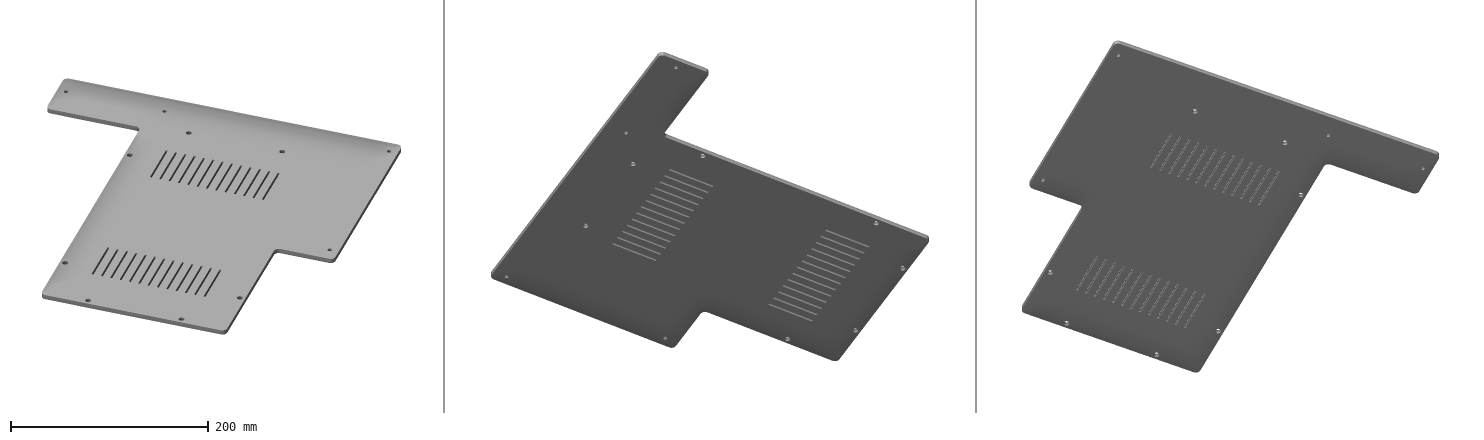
import cadquery as cq

plate_width = 362.5
plate_depth = 367.0
thickness = 5.0
body_left = 101.5
body_right = 300.2
arm_bottom = 309.7
head_bottom = 154.5
corner_radius = 5.0

small_hole_diameter = 4.5
large_hole_diameter = 6.0
arm_hole_y = 344.2
arm_hole_xs = (9.5, 115.2)
head_hole_x = 353.0
head_hole_ys = (169.5, 352.7)
body_hole_inset = 5.5
side_hole_y = 60.2
side_hole_spacing = 200.0
column_hole_x = 151.0
column_hole_spacing = 100.2
column_hole_top_y = 316.7

slot_count = 13
slot_width = 2.02
slot_length = 50.0
slot_row_span = 120.0
slot_row_center_x = 200.0
slot_row_ys = (75.2, 255.5)


def make_plate():
    outline = [
        (body_left, 0),
        (body_right, 0),
        (body_right, head_bottom),
        (plate_width, head_bottom),
        (plate_width, plate_depth),
        (0, plate_depth),
        (0, arm_bottom),
        (body_left, arm_bottom),
    ]
    plate = cq.Workplane("XY").polyline(outline).close().extrude(thickness)
    return plate.edges("|Z").fillet(corner_radius)


def make_holes(points, diameter):
    return cq.Workplane("XY").pushPoints(points).circle(diameter / 2).extrude(thickness)


def make_slots():
    pitch = slot_row_span / (slot_count - 1)
    first_x = slot_row_center_x - slot_row_span / 2
    centers = [(first_x + i * pitch, y) for y in slot_row_ys for i in range(slot_count)]
    return cq.Workplane("XY").pushPoints(centers).rect(slot_width, slot_length).extrude(thickness)


small_holes = [(x, arm_hole_y) for x in arm_hole_xs]
small_holes += [(head_hole_x, y) for y in head_hole_ys]

large_holes = [
    (body_left + body_hole_inset, side_hole_y),
    (body_left + body_hole_inset, side_hole_y + side_hole_spacing),
    (body_right - body_hole_inset, side_hole_y),
]
for x in (column_hole_x, column_hole_x + column_hole_spacing):
    large_holes += [(x, body_hole_inset), (x, column_hole_top_y)]

result = (
    make_plate()
    .cut(make_holes(small_holes, small_hole_diameter))
    .cut(make_holes(large_holes, large_hole_diameter))
    .cut(make_slots())
)